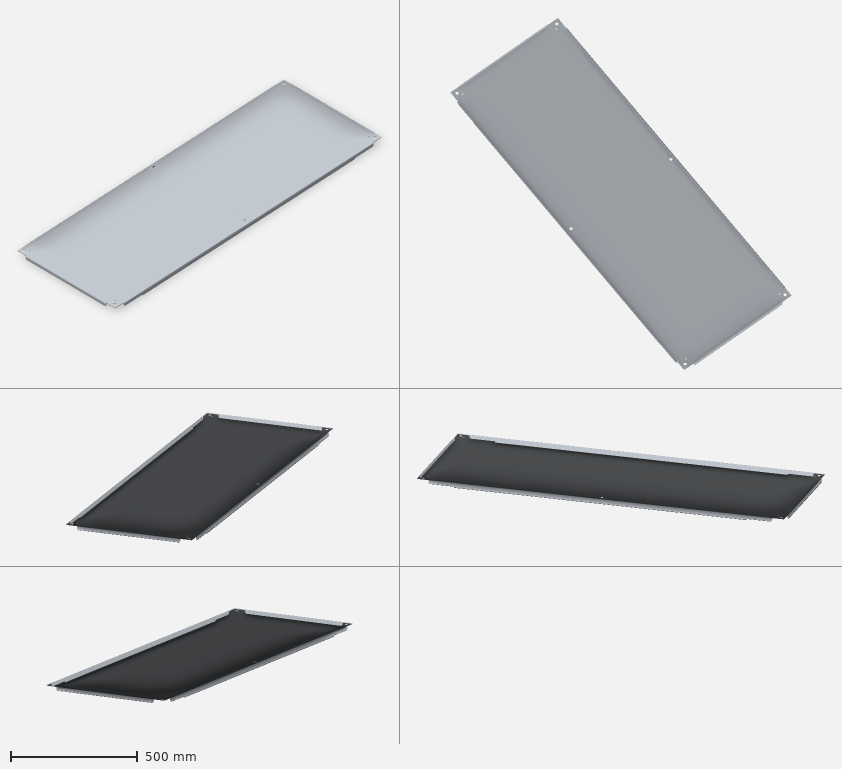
import cadquery as cq
import math

width = 538.16
length = 1522.41
height = 22.23

thickness = 3.175
inner_radius = thickness / 2
outer_radius = inner_radius + thickness

shallow_flange_depth = 17.4625
side_flange_half_length = 710.4
side_flange_deep_half_length = 604.0
end_flange_half_length = 219.075
flange_corner_radius = 2.5 * thickness

corner_setback = thickness
relief_width = thickness

mounting_hole_diameter = 12.7
mounting_hole_x = 247.65
mounting_hole_y = 739.775
small_hole_diameter = 6.35
small_hole_inset = 15.875
small_hole_x = mounting_hole_x - small_hole_inset
small_hole_y = mounting_hole_y - small_hole_inset


def flange_blank(plane, reach, depth, half_length):
    """Quarter-round bend with a straight leg, extruded evenly both ways along the edge."""
    bend_center = reach - outer_radius
    diagonal = math.sqrt(0.5)
    outer_middle = (
        bend_center + outer_radius * diagonal,
        -outer_radius + outer_radius * diagonal,
    )
    inner_middle = (
        bend_center + inner_radius * diagonal,
        -outer_radius + inner_radius * diagonal,
    )
    return (
        cq.Workplane(plane)
        .moveTo(bend_center, 0)
        .threePointArc(outer_middle, (reach, -outer_radius))
        .lineTo(reach, -depth)
        .lineTo(reach - thickness, -depth)
        .lineTo(reach - thickness, -outer_radius)
        .threePointArc(inner_middle, (bend_center, -thickness))
        .close()
        .extrude(half_length, both=True)
    )


def rounded_outline(plane, half_length, span, corner_edges):
    """Block as deep as a shallow flange, with its two lower corners rounded."""
    return (
        cq.Workplane(plane)
        .moveTo(0, -shallow_flange_depth / 2)
        .rect(2 * half_length, shallow_flange_depth)
        .extrude(span, both=True)
        .faces("<Z")
        .edges(corner_edges)
        .fillet(flange_corner_radius)
    )


def side_flanges():
    """Pair of flanges along the long edges, each with a deeper middle stretch."""
    reach = width / 2
    shallow = flange_blank("XZ", reach, shallow_flange_depth, side_flange_half_length)
    shallow = shallow.intersect(rounded_outline("YZ", side_flange_half_length, width, "|X"))
    deep = flange_blank("XZ", reach, height, side_flange_deep_half_length)
    flange = shallow.union(deep)
    return flange.union(flange.mirror("YZ"))


def end_flanges():
    """Pair of flanges across the short edges."""
    reach = length / 2
    flange = flange_blank("YZ", reach, shallow_flange_depth, end_flange_half_length)
    flange = flange.intersect(rounded_outline("XZ", end_flange_half_length, length, "|Y"))
    return flange.union(flange.mirror("XZ"))


def edge_notches(centers, size_x, size_y):
    """Cutters that take the plate edge back to the bend line."""
    return cq.Workplane("XY").pushPoints(centers).rect(size_x, size_y).extrude(-thickness)


def plate():
    """Flat sheet notched along each edge to make room for the bend and its relief slots."""
    plate_width = width - 2 * corner_setback
    plate_length = length - 2 * corner_setback
    notch_depth = 2 * outer_radius
    side_notches = edge_notches(
        [(-width / 2, 0), (width / 2, 0)],
        notch_depth,
        2 * (side_flange_half_length + relief_width),
    )
    end_notches = edge_notches(
        [(0, -length / 2), (0, length / 2)],
        2 * (end_flange_half_length + relief_width),
        notch_depth,
    )
    sheet = cq.Workplane("XY").rect(plate_width, plate_length).extrude(-thickness)
    return sheet.cut(side_notches).cut(end_notches)


def hole_cutters(points, diameter):
    return cq.Workplane("XY").pushPoints(points).circle(diameter / 2).extrude(-thickness)


mounting_points = [
    (side * mounting_hole_x, row * mounting_hole_y)
    for side in (-1, 1)
    for row in (-1, 0, 1)
]
small_points = [
    (side * small_hole_x, end * small_hole_y)
    for side in (-1, 1)
    for end in (-1, 1)
]

result = plate().union(side_flanges()).union(end_flanges())
result = result.cut(hole_cutters(mounting_points, mounting_hole_diameter))
result = result.cut(hole_cutters(small_points, small_hole_diameter))